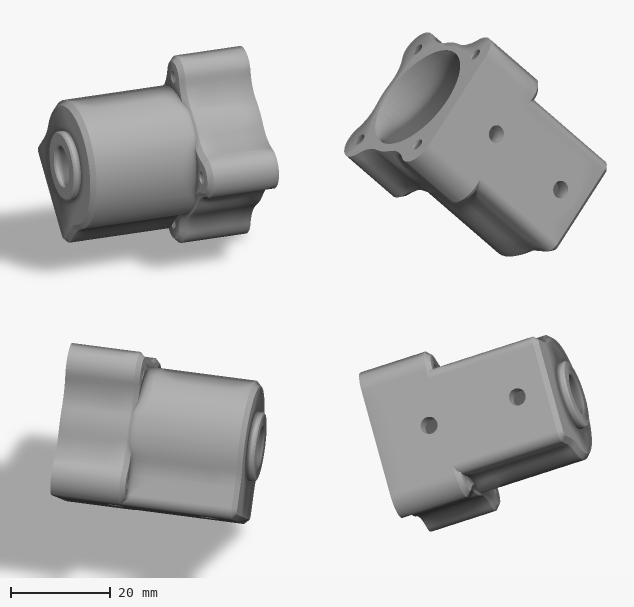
import cadquery as cq
import math


flange_length = 15.0
body_length = 37.5
total_length = 39.0

lug_pitch_radius = 15.75
lug_radius = 4.25
lug_hole_diameter = 2.5
hub_radius = 13.5
neck_radius = 8.0

body_radius = 13.1
foot_corner_radius = 2.0
foot_blend_radius = 8.0

boss_diameter = 14.0
bore_diameter = 8.0
cavity_diameter = 23.2
cavity_depth = 35.5

screw_diameter = 3.5
screw_depths = (11.5, 30.5)

edge_chamfer = 1.0
boss_chamfer = 0.3
chamfer_angle = 45.0
mounting_angle = 45.0

lug_angle = 45.0
lug_offset = lug_pitch_radius * math.sin(math.radians(lug_angle))
face_distance = lug_offset + lug_radius
foot_half_width = lug_offset


def polar(radius, angle):
    """Point at a radius and an angle in degrees."""
    return radius * math.cos(math.radians(angle)), radius * math.sin(math.radians(angle))


def toward(start, end, distance):
    """Point at a distance from start on the way to end."""
    ratio = distance / math.dist(start, end)
    return tuple(s + (e - s) * ratio for s, e in zip(start, end))


def arc_middle(center, radius, start, end):
    """Middle of the short arc from start to end about a center."""
    chord_middle = tuple((s + e) / 2 for s, e in zip(start, end))
    return toward(center, chord_middle, radius)


def add_arc(sketch, center, radius, start, end):
    """Extend the sketch with the short arc from start, its current point, to end."""
    return sketch.threePointArc(arc_middle(center, radius, start, end), end)


def flange_outline():
    """Four lugs joined by necks and hub arcs on three sides and by the flat face on the fourth."""
    neck_distance = hub_radius + neck_radius
    neck_turn = math.degrees(math.acos(
        (lug_pitch_radius**2 + neck_distance**2 - (lug_radius + neck_radius)**2)
        / (2 * lug_pitch_radius * neck_distance)
    ))
    point = (lug_offset, -face_distance)
    sketch = cq.Workplane("XZ").moveTo(*point)
    for side_angle in (0, 90, 180):
        first_lug = polar(lug_pitch_radius, side_angle - lug_angle)
        last_lug = polar(lug_pitch_radius, side_angle + lug_angle)
        first_neck = polar(neck_distance, side_angle - lug_angle + neck_turn)
        last_neck = polar(neck_distance, side_angle + lug_angle - neck_turn)
        corners = (
            (first_lug, lug_radius, toward(first_lug, first_neck, lug_radius)),
            (first_neck, neck_radius, toward(first_neck, (0, 0), neck_radius)),
            ((0, 0), hub_radius, toward((0, 0), last_neck, hub_radius)),
            (last_neck, neck_radius, toward(last_neck, last_lug, neck_radius)),
        )
        for center, radius, end in corners:
            sketch = add_arc(sketch, center, radius, point, end)
            point = end
    sketch = add_arc(sketch, last_lug, lug_radius, point, (-lug_offset, -face_distance))
    return sketch.close()


def body_outline():
    """Round top blended into a straight-sided foot that ends on the flat face."""
    blend_x = foot_half_width + foot_blend_radius
    blend_z = -math.sqrt((body_radius + foot_blend_radius)**2 - blend_x**2)
    corner_x = foot_half_width - foot_corner_radius
    corner_z = -face_distance + foot_corner_radius
    right_blend = (blend_x, blend_z)
    left_blend = (-blend_x, blend_z)
    right_tangent = toward((0, 0), right_blend, body_radius)
    left_tangent = toward((0, 0), left_blend, body_radius)

    sketch = cq.Workplane("XZ").moveTo(corner_x, -face_distance)
    sketch = add_arc(sketch, (corner_x, corner_z), foot_corner_radius,
                     (corner_x, -face_distance), (foot_half_width, corner_z))
    sketch = sketch.lineTo(foot_half_width, blend_z)
    sketch = add_arc(sketch, right_blend, foot_blend_radius, (foot_half_width, blend_z), right_tangent)
    sketch = sketch.threePointArc((0, body_radius), left_tangent)
    sketch = add_arc(sketch, left_blend, foot_blend_radius, left_tangent, (-foot_half_width, blend_z))
    sketch = sketch.lineTo(-foot_half_width, corner_z)
    sketch = add_arc(sketch, (-corner_x, corner_z), foot_corner_radius,
                     (-foot_half_width, corner_z), (-corner_x, -face_distance))
    return sketch.close()


def make_flange():
    flange = flange_outline().extrude(flange_length)
    return flange.faces("<Y").chamfer(edge_chamfer)


def make_body():
    body = body_outline().extrude(body_length)
    return body.faces("<Y").chamfer(edge_chamfer)


def make_boss():
    boss = cq.Workplane("XZ").circle(boss_diameter / 2).extrude(total_length)
    return boss.faces("<Y").chamfer(boss_chamfer)


def make_bore():
    """Through bore with a chamfered mouth, plus the wide cavity from the open back."""
    bore = cq.Workplane("XZ").circle(bore_diameter / 2).extrude(total_length)
    mouth = (
        cq.Workplane("XZ", origin=(0, -total_length, 0))
        .circle(bore_diameter / 2 + boss_chamfer)
        .extrude(-boss_chamfer, taper=chamfer_angle)
    )
    cavity = cq.Workplane("XZ").circle(cavity_diameter / 2).extrude(cavity_depth)
    return bore.union(mouth).union(cavity)


def make_lug_holes():
    """Holes through the flange only; the foot half covers two of them."""
    return (
        cq.Workplane("XZ")
        .rect(2 * lug_offset, 2 * lug_offset, forConstruction=True)
        .vertices()
        .circle(lug_hole_diameter / 2)
        .extrude(flange_length)
    )


def make_screw_holes():
    """Radial holes from the flat face into the cavity."""
    return (
        cq.Workplane("XY", origin=(0, 0, -face_distance))
        .pushPoints([(0, -depth) for depth in screw_depths])
        .circle(screw_diameter / 2)
        .extrude(face_distance)
    )


housing = make_flange().union(make_body()).union(make_boss())
housing = housing.cut(make_lug_holes()).cut(make_bore()).cut(make_screw_holes())
result = housing.rotate((0, 0, 0), (0, 1, 0), mounting_angle)